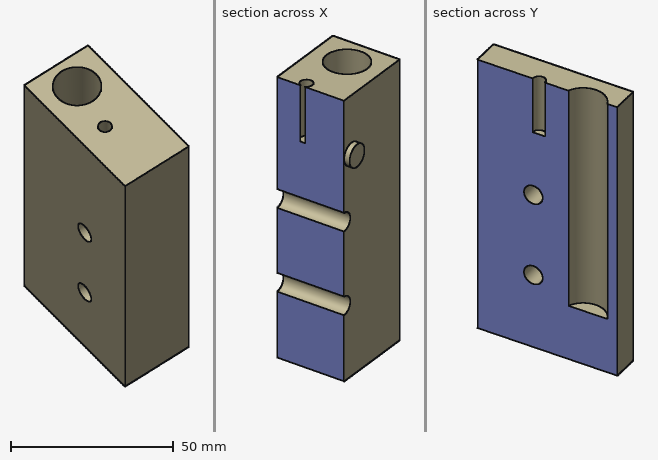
import cadquery as cq

block_width = 50.0
block_depth = 25.0
block_height = 100.5

bore_diameter = 15.0
bore_x = 10.5
bore_y = block_depth / 2
bore_depth = 80.4

port_diameter = 4.3
port_x = 28.0
port_y = 9.5
port_depth = 20.1

mount_diameter = 6.5
mount_x = 30.0
mount_lower_z = 27.0
mount_spacing = 29.9

boss_diameter = 8.0
boss_height = 2.0
boss_x = 26.0
boss_z = 79.5


def top_hole(x, y, diameter, depth):
    """Cylinder reaching down from the top face."""
    return (
        cq.Workplane("XY", origin=(x, y, block_height))
        .circle(diameter / 2)
        .extrude(-depth)
    )


def back_cylinder(x, z, diameter, start_y, length):
    """Cylinder along +Y that starts at the given Y."""
    return (
        cq.Workplane("XZ", origin=(x, start_y, z))
        .circle(diameter / 2)
        .extrude(-length)
    )


result = cq.Workplane("XY").box(block_width, block_depth, block_height, centered=False)

result = result.union(back_cylinder(boss_x, boss_z, boss_diameter, block_depth, boss_height))

result = result.cut(top_hole(bore_x, bore_y, bore_diameter, bore_depth))
result = result.cut(top_hole(port_x, port_y, port_diameter, port_depth))

for mount_z in (mount_lower_z, mount_lower_z + mount_spacing):
    result = result.cut(back_cylinder(mount_x, mount_z, mount_diameter, 0, block_depth))